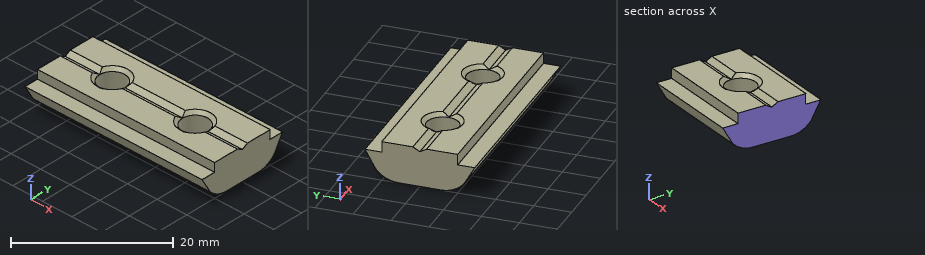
import cadquery as cq
import math

length = 30.0
width = 14.5
height = 5.3

neck_width = 10.0
neck_height = 1.45
flank_bottom_z = 1.32
flank_angle = 60.0
belly_radius = 4.0

groove_width = 1.8
groove_depth = 0.5

hole_spacing = 14.0
hole_diameter = 4.25
countersink_diameter = 5.3
countersink_angle = 90.0


def make_body():
    """Extrude the T-slot nut section, with belly arcs tangent to the flat bottom."""
    half_width = width / 2
    half_neck = neck_width / 2
    shoulder_z = height - neck_height
    flank_run = (shoulder_z - flank_bottom_z) / math.tan(math.radians(flank_angle))
    flank_y = half_width - flank_run

    arc_sweep = math.acos(1 - flank_bottom_z / belly_radius)
    flat_y = flank_y - belly_radius * math.sin(arc_sweep)
    arc_mid_y = flat_y + belly_radius * math.sin(arc_sweep / 2)
    arc_mid_z = belly_radius * (1 - math.cos(arc_sweep / 2))

    return (
        cq.Workplane("YZ", origin=(-length / 2, 0, 0))
        .moveTo(-flat_y, 0)
        .lineTo(flat_y, 0)
        .threePointArc((arc_mid_y, arc_mid_z), (flank_y, flank_bottom_z))
        .lineTo(half_width, shoulder_z)
        .lineTo(half_neck, shoulder_z)
        .lineTo(half_neck, height)
        .lineTo(groove_width / 2, height)
        .lineTo(0, height - groove_depth)
        .lineTo(-groove_width / 2, height)
        .lineTo(-half_neck, height)
        .lineTo(-half_neck, shoulder_z)
        .lineTo(-half_width, shoulder_z)
        .lineTo(-flank_y, flank_bottom_z)
        .threePointArc((-arc_mid_y, arc_mid_z), (-flat_y, 0))
        .close()
        .extrude(length)
    )


def cut_holes(body):
    """Cut the pair of holes, countersunk from the top."""
    hole_centers = [(side * hole_spacing / 2, 0) for side in (-1, 1)]
    return (
        body.copyWorkplane(cq.Workplane("XY", origin=(0, 0, height)))
        .pushPoints(hole_centers)
        .cskHole(hole_diameter, countersink_diameter, countersink_angle)
    )


result = cut_holes(make_body())